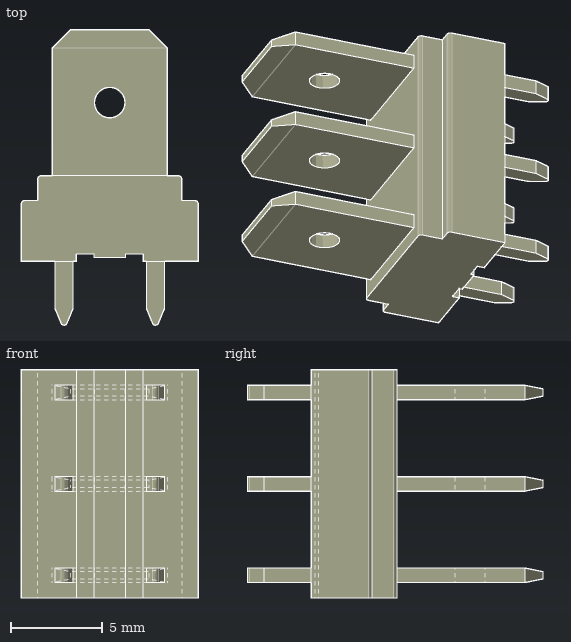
import cadquery as cq
import math

body_width = 9.7
body_length = 12.5
body_height = 4.7
shoulder_height = 3.34
upper_width = 7.9
corner_radius = 0.2

channel_width = 3.65
channel_depth = 0.4
pad_width = 1.73
pad_height = 0.2

contact_count = 3
pitch = 5.0
sheet_thickness = 0.81

tab_width = 6.3
tab_length = 8.0
tab_bevel = 1.0
tab_tip_thickness = 0.4
hole_diameter = 1.65
hole_from_tip = 4.0
tab_tip_y = body_height + tab_length

pin_width = 1.0
pin_length = 3.5
pin_taper_length = 0.92
pin_tip_radius = 0.18
pin_spacing = pitch


def centred_slab(outline, thickness):
    """Extrude a closed XY outline symmetrically about Z = 0."""
    return outline.extrude(thickness / 2, both=True)


def rounded_step(width, height):
    """Full-length block standing on Y = 0, with its two +Y corners rounded."""
    outline = cq.Workplane("XY").center(0, height / 2).rect(width, height)
    return centred_slab(outline, body_length).edges("|Z and >Y").fillet(corner_radius)


def make_body():
    lower = rounded_step(body_width, shoulder_height)
    upper = rounded_step(upper_width, body_height)
    channel = (
        cq.Workplane("XY")
        .center(0, channel_depth / 2)
        .rect(channel_width, channel_depth)
    )
    pad = (
        cq.Workplane("XY")
        .center(0, channel_depth - pad_height / 2)
        .rect(pad_width, pad_height)
    )
    body = lower.union(upper).cut(centred_slab(channel, body_length))
    return body.union(centred_slab(pad, body_length))


def make_tab():
    """Blade with bevelled corners, a tip thinned on both faces and a round hole."""
    half_width = tab_width / 2
    bevel_y = tab_tip_y - tab_bevel
    face_outline = (
        cq.Workplane("XY")
        .moveTo(-half_width, shoulder_height)
        .lineTo(-half_width, bevel_y)
        .lineTo(-half_width + tab_bevel, tab_tip_y)
        .lineTo(half_width - tab_bevel, tab_tip_y)
        .lineTo(half_width, bevel_y)
        .lineTo(half_width, shoulder_height)
        .close()
    )
    half_sheet = sheet_thickness / 2
    half_tip = tab_tip_thickness / 2
    edge_outline = (
        cq.Workplane("YZ")
        .moveTo(shoulder_height, -half_sheet)
        .lineTo(bevel_y, -half_sheet)
        .lineTo(tab_tip_y, -half_tip)
        .lineTo(tab_tip_y, half_tip)
        .lineTo(bevel_y, half_sheet)
        .lineTo(shoulder_height, half_sheet)
        .close()
    )
    hole = (
        cq.Workplane("XY")
        .center(0, tab_tip_y - hole_from_tip)
        .circle(hole_diameter / 2)
    )
    blade = centred_slab(face_outline, sheet_thickness)
    thinned = blade.intersect(centred_slab(edge_outline, tab_width))
    return thinned.cut(centred_slab(hole, sheet_thickness))


def make_pin():
    """Pin with straight tapered flanks that run tangent into a round tip."""
    half_width = pin_width / 2
    root_y = channel_depth
    taper_y = -pin_length + pin_taper_length
    tip_centre_y = -pin_length + pin_tip_radius

    rise = taper_y - tip_centre_y
    corner_angle = math.atan2(rise, half_width)
    touch_angle = corner_angle - math.acos(pin_tip_radius / math.hypot(half_width, rise))
    touch_x = pin_tip_radius * math.cos(touch_angle)
    touch_y = tip_centre_y + pin_tip_radius * math.sin(touch_angle)

    outline = (
        cq.Workplane("XY")
        .moveTo(-half_width, root_y)
        .lineTo(-half_width, taper_y)
        .lineTo(-touch_x, touch_y)
        .threePointArc((0, -pin_length), (touch_x, touch_y))
        .lineTo(half_width, taper_y)
        .lineTo(half_width, root_y)
        .close()
    )
    return centred_slab(outline, sheet_thickness)


result = make_body()
tab = make_tab()
pin = make_pin()
for index in range(contact_count):
    contact_z = (index - (contact_count - 1) / 2) * pitch
    result = result.union(tab.translate((0, 0, contact_z)))
    for side in (-1, 1):
        result = result.union(pin.translate((side * pin_spacing / 2, 0, contact_z)))